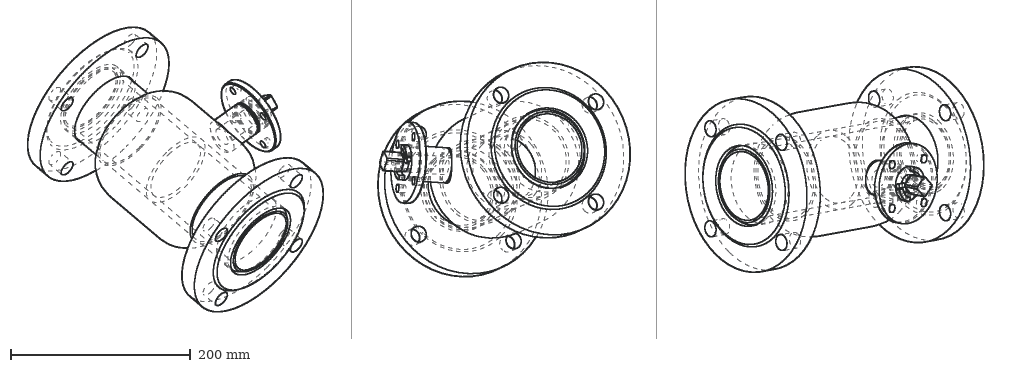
import cadquery as cq
import math


face_to_face = 280.0
flange_radius = 97.5
flange_thickness = 20.7
flange_bore_radius = 45.5
raised_face_height = 2.8
raised_face_radius = 69.0
raised_face_chamfer = 3.0
bolt_circle_radius = 80.0
bolt_hole_radius = 9.0
bolt_count = 4

pipe_radius = 44.5
pipe_mouth_radius = 38.5
pipe_bore_radius = 37.5
pipe_mouth_depth = 4.5
pipe_taper_length = 14.5
weld_bevel_width = 3.5
weld_bevel_length = 5.5

shell_radius = 70.0
shell_end_radius = 47.5
shell_half_length = 76.0
shell_half_straight = 40.5

neck_radius = 19.5
neck_top = 123.8
neck_recess_radius = 14.5
lug_angle = 69.0
groove_radius = 17.5
groove_bottom = 106.5
groove_top = 108.5

plate_radius = 45.0
plate_bottom = 109.5
plate_thickness = 8.0
plate_chamfer = 1.0
plate_hole_circle_radius = 35.0
plate_hole_radius = 4.5
plate_hole_count = 4

stem_radius = 10.0
stem_top = 144.0
stem_square_width = 17.0
stem_corner_radius = 11.0

pin_radius = 2.5
pin_length = 37.8

half_length = face_to_face / 2
flange_front = half_length - raised_face_height
flange_back = flange_front - flange_thickness
neck_base = shell_radius
plate_top = plate_bottom + plate_thickness
pin_height = (plate_top + neck_top) / 2


def cylinder_along_y(radius, bottom, top):
    """A cylinder on the stem axis between two heights."""
    return cq.Workplane("XZ", origin=(0, bottom, 0)).circle(radius).extrude(bottom - top)


def on_both_ends(body):
    """The body built at the +X end and its mirror image at the -X end."""
    return [body, body.mirror("YZ")]


def make_flange():
    """Flange at the +X end with a chamfered raised face and four bolt holes."""
    profile = [
        (flange_back, flange_bore_radius),
        (flange_back, flange_radius),
        (flange_front, flange_radius),
        (flange_front, raised_face_radius),
        (half_length, raised_face_radius - raised_face_chamfer),
        (half_length, flange_bore_radius),
    ]
    flange = cq.Workplane("XY").polyline(profile).close().revolve(360, (0, 0, 0), (1, 0, 0))
    bolt_holes = (
        cq.Workplane("YZ", origin=(flange_back, 0, 0))
        .polarArray(bolt_circle_radius, 180 / bolt_count, 360, bolt_count)
        .circle(bolt_hole_radius)
        .extrude(flange_thickness + raised_face_height)
    )
    return flange.cut(bolt_holes)


def make_pipe():
    """Pipe from the middle of the shell to the +X flange face, with a weld bevel and a wider mouth."""
    taper_start = half_length - pipe_mouth_depth
    profile = [
        (0, pipe_bore_radius),
        (0, pipe_radius),
        (half_length - weld_bevel_length, pipe_radius),
        (half_length, pipe_radius - weld_bevel_width),
        (half_length, pipe_mouth_radius),
        (taper_start, pipe_mouth_radius),
        (taper_start - pipe_taper_length, pipe_bore_radius),
    ]
    return cq.Workplane("XY").polyline(profile).close().revolve(360, (0, 0, 0), (1, 0, 0))


def make_shell():
    """Barrel-shaped shell: a straight middle, two rounded shoulders and a flat pad for the neck."""
    barrel = (
        cq.Workplane("XY")
        .moveTo(-shell_half_length, 0)
        .lineTo(shell_half_length, 0)
        .lineTo(shell_half_length, shell_end_radius)
        .threePointArc(shoulder_midpoint(1), (shell_half_straight, shell_radius))
        .lineTo(-shell_half_straight, shell_radius)
        .threePointArc(shoulder_midpoint(-1), (-shell_half_length, shell_end_radius))
        .close()
        .revolve(360, (0, 0, 0), (1, 0, 0))
    )
    pad = cylinder_along_y(neck_radius, 0, neck_base)
    pipe_bore = cq.Workplane("YZ").circle(pipe_radius).extrude(shell_half_length, both=True)
    return barrel.union(pad).cut(pipe_bore)


def shoulder_midpoint(side):
    """Middle of the shoulder arc that leaves the straight part tangentially."""
    run = shell_half_length - shell_half_straight
    drop = shell_radius - shell_end_radius
    arc_radius = (run**2 + drop**2) / (2 * drop)
    half_angle = math.asin(run / arc_radius) / 2
    x = shell_half_straight + arc_radius * math.sin(half_angle)
    y = shell_radius - arc_radius * (1 - math.cos(half_angle))
    return (side * x, y)


def make_neck():
    """Neck on the shell pad, with a groove below the plate and two stop lugs above it."""
    neck = cylinder_along_y(neck_radius, neck_base, neck_top)
    neck = neck.cut(cylinder_along_y(stem_radius, neck_base, neck_top))
    neck = neck.cut(cylinder_along_y(neck_recess_radius, plate_top, neck_top))

    groove_core = cylinder_along_y(groove_radius, groove_bottom, groove_top)
    neck = neck.cut(cylinder_along_y(neck_radius, groove_bottom, groove_top).cut(groove_core))
    return neck.cut(stop_opening(1)).cut(stop_opening(-1))


def stop_opening(side):
    """Wedge between the two lugs, open towards +X +Z or -X -Z, in which the pin turns."""
    reach = 2 * neck_radius
    middle_angle = 45
    half_angle = (180 - lug_angle) / 2
    corners = [(0, 0)]
    for angle in (middle_angle - half_angle, middle_angle, middle_angle + half_angle):
        x = side * reach * math.cos(math.radians(angle))
        z = side * reach * math.sin(math.radians(angle))
        corners.append((x, z))
    wedge = cq.Workplane("XZ", origin=(0, plate_top, 0)).polyline(corners).close()
    return wedge.extrude(plate_top - neck_top)


def make_plate():
    """Round mounting plate fitted over the neck."""
    plate = cylinder_along_y(plate_radius, plate_bottom, plate_top).faces("<Y").chamfer(plate_chamfer)
    holes = (
        cq.Workplane("XZ", origin=(0, plate_bottom, 0))
        .polarArray(plate_hole_circle_radius, 180 / plate_hole_count, 360, plate_hole_count)
        .circle(plate_hole_radius)
        .extrude(-plate_thickness)
    )
    return plate.cut(holes).cut(cylinder_along_y(neck_radius, plate_bottom, plate_top))


def make_stem():
    """Round stem with a square drive end, cross-drilled for the stop pin."""
    square = (
        cq.Workplane("XZ", origin=(0, neck_top, 0))
        .transformed(rotate=(0, 0, 45))
        .rect(stem_square_width, stem_square_width)
        .extrude(neck_top - stem_top)
    )
    drive = square.intersect(cylinder_along_y(stem_corner_radius, neck_top, stem_top))
    stem = cylinder_along_y(stem_radius, neck_base, neck_top).union(drive)
    return stem.cut(make_pin())


def make_pin():
    """Stop pin through the stem, parallel to the flow axis."""
    return cq.Workplane("YZ", origin=(0, pin_height, 0)).circle(pin_radius).extrude(pin_length / 2, both=True)


flanges = on_both_ends(make_flange())
pipes = on_both_ends(make_pipe())
shell = make_shell()
neck = make_neck()
plate = make_plate()
stem = make_stem()
pin = make_pin()

bodies = [*flanges, *pipes, shell, neck, plate, stem, pin]
result = cq.Compound.makeCompound([body.val() for body in bodies])